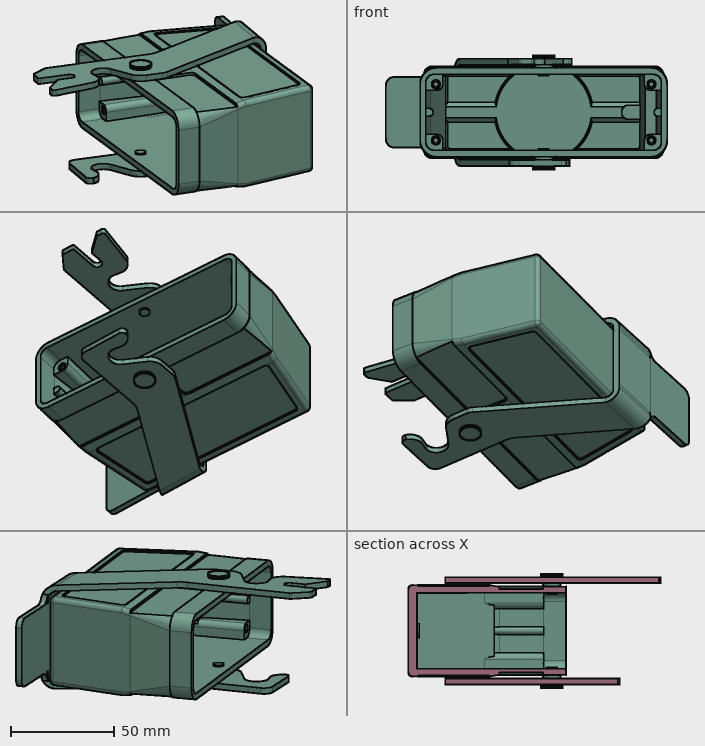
import cadquery as cq
import math


mouth_y = -7.0
rim_y = 4.2
shoulder_y = 25.5
bevel_y = 30.1
crown_y = 69.7
rim_half_x, rim_half_z, rim_radius = 60.0, 21.5, 7.6
skirt_half_z = 20.3
skirt_base_half_x = 59.7
shoulder_half_x = 57.9
crown_half_x = 49.5
body_half_z = 22.25
end_slope = (shoulder_half_x - crown_half_x) / (crown_y - shoulder_y)
bevel_half_x = shoulder_half_x - end_slope * (bevel_y - shoulder_y)
body_edge_radius = 2.4
crown_fillet = 2.2

strip_half_x = 5.9
strip_flare = 2.5

panel_depth = 0.6
panel_bottom_y = bevel_y + 0.1
panel_top_y = crown_y - 4.7
panel_side_margin = 5.2
panel_corner = 2.5
panel_wall_angle = 35.0

wall = 2.8
cavity_half_z = 18.4
cavity_radius = 4.0
cavity_edge_radius = 1.0
floor_bevel = 0.8
ledge_y, ledge_edge_x = 28.0, 49.2
floor_y = crown_y - wall
floor_rib_height = 1.5
floor_rib_base_half_z = 4.8
floor_rib_top_half_z = 2.7
floor_disc_base_radius = 24.0
floor_disc_top_radius = 23.2
hump_radius = 3.5
hump_length = 8.9
hump_rise = 1.0

post_face_y = 4.0
post_inner_x, post_inner_z = 48.9, 10.7
post_corner = 3.0
screw_x, screw_z = 52.3, 13.6
screw_pilot_radius, screw_mouth_radius = 1.3, 2.1
screw_countersink, screw_depth = 0.9, 12.0
guide_radius, guide_centre_x = 1.9, 55.5

pin_tip_z = 17.7
pin_tip_radius = 2.6
pin_shaft_radius = 4.3
pin_collar_radius = 5.1
pin_head_radius = 5.35
pin_head_thickness = 1.2
pin_end_z = 27.8
knurl_count, knurl_width, knurl_depth = 36, 0.45, 0.25

lever_tilt = -2.7
sheet = 3.0
lever_half_z = 26.1
lever_back_y = 73.8
bend_radius = 7.0
bend_line_y = lever_back_y - bend_radius
bend_left_x, bend_right_x = -43.8, -18.9
bar_left_x, bar_right_x = -47.0, -20.3
tab_end_x = -80.05
tab_half_z = 17.2
tab_corner = 4.2
neck_fillet = 4.5

arm_left_x = -15.4
arm_right_x = 12.3
knee_y, knee_fillet = 13.0, 10.5
elbow_y, elbow_fillet = 7.9, 6.0
heel_fillet = 7.6
hook_x, hook_y, hook_radius = 0.6, -19.6, 5.9
shank_angle = 29.0
finger_top = (6.2, -24.6)
finger_middle = (10.3, -26.2)
finger_side = (12.5, -29.5)
fork_foot_y = -52.3
fork_corner_fillet = 1.5
fork_shoulder_y = -43.7
fork_left_x = -9.4
fork_tip_x, fork_tip_start_x, fork_tip_fillet = 16.4, 12.0, 1.4
slot_radius = 2.6
slot_centre_y = -37.1
slot_mouth_y, slot_mouth_fillet = -44.4, 0.8
short_foot_y, short_foot_x = -32.6, 12.5
short_foot_left_fillet, short_foot_right_fillet = 4.5, 2.5


def rounded_wire(y, half_x, half_z, radius):
    """Rounded rectangle lying across the Y axis."""
    sketch = cq.Sketch().rect(2 * half_x, 2 * half_z).vertices().fillet(radius)
    plane = cq.Workplane("XZ", origin=(0, y, 0))
    return plane.placeSketch(sketch).extrude(-1).faces("<Y").wires().val()


def tapered_block(start, end):
    """Straight-sided solid between two rounded rectangles."""
    return cq.Workplane(cq.Solid.makeLoft([rounded_wire(*start), rounded_wire(*end)], True))


def mirrored_z(shape):
    return shape.union(shape.mirror("XY"))


def polar(centre_x, centre_y, radius, degrees):
    angle = math.radians(degrees)
    return (centre_x + radius * math.cos(angle), centre_y + radius * math.sin(angle))


def pin_strip():
    """Raised strip with flared ends, reaching from face to face."""
    flared_x = strip_half_x + strip_flare
    bend = strip_flare * (1 - math.sqrt(0.5))
    return (
        cq.Workplane("XY", origin=(0, 0, -rim_half_z))
        .moveTo(-flared_x, rim_y)
        .lineTo(flared_x, rim_y)
        .threePointArc((strip_half_x + bend, rim_y + bend), (strip_half_x, rim_y + strip_flare))
        .lineTo(strip_half_x, shoulder_y - strip_flare)
        .threePointArc((strip_half_x + bend, shoulder_y - bend), (flared_x, shoulder_y))
        .lineTo(-flared_x, shoulder_y)
        .threePointArc((-strip_half_x - bend, shoulder_y - bend), (-strip_half_x, shoulder_y - strip_flare))
        .lineTo(-strip_half_x, rim_y + strip_flare)
        .threePointArc((-strip_half_x - bend, rim_y + bend), (-flared_x, rim_y))
        .close()
        .extrude(2 * rim_half_z)
    )


def skirt_recesses():
    """Material removed from both large faces of the skirt, leaving the pin strip standing."""
    depth = rim_half_z - skirt_half_z
    layer = (
        cq.Workplane("XY", origin=(0, (rim_y + shoulder_y) / 2, skirt_half_z))
        .rect(2 * rim_half_x, shoulder_y - rim_y)
        .extrude(depth)
    )
    return mirrored_z(layer.cut(pin_strip()))


def hood_outside():
    rim = tapered_block(
        (mouth_y, rim_half_x, rim_half_z, rim_radius),
        (rim_y, rim_half_x, rim_half_z, rim_radius),
    )
    skirt = tapered_block(
        (rim_y, skirt_base_half_x, rim_half_z, rim_radius),
        (shoulder_y, shoulder_half_x, rim_half_z, body_edge_radius),
    )
    bevel = tapered_block(
        (shoulder_y, shoulder_half_x, rim_half_z, body_edge_radius),
        (bevel_y, bevel_half_x, body_half_z, body_edge_radius),
    )
    body = tapered_block(
        (bevel_y, bevel_half_x, body_half_z, body_edge_radius),
        (crown_y, crown_half_x, body_half_z, body_edge_radius),
    )
    body = body.faces(">Y").edges().fillet(crown_fillet)
    return rim.union(skirt.cut(skirt_recesses())).union(bevel).union(body)


def face_panels():
    bottom_x = bevel_half_x - panel_side_margin
    top_x = bottom_x - end_slope * (panel_top_y - panel_bottom_y)
    panel = (
        cq.Workplane("XY", origin=(0, 0, body_half_z))
        .polyline([(-bottom_x, panel_bottom_y), (bottom_x, panel_bottom_y),
                   (top_x, panel_top_y), (-top_x, panel_top_y)])
        .close()
        .extrude(-panel_depth, taper=panel_wall_angle)
        .edges("not #Z")
        .fillet(panel_corner)
    )
    return mirrored_z(panel)


def cavity():
    mouth = tapered_block(
        (mouth_y, rim_half_x - wall, cavity_half_z, cavity_radius),
        (rim_y, rim_half_x - wall, cavity_half_z, cavity_radius),
    )
    middle = tapered_block(
        (rim_y, rim_half_x - wall, cavity_half_z, cavity_radius),
        (shoulder_y, shoulder_half_x - wall, cavity_half_z, cavity_edge_radius),
    )
    deep_end_y = floor_y - floor_bevel
    deep_half_x = crown_half_x - wall + end_slope * (crown_y - deep_end_y)
    deep = tapered_block(
        (shoulder_y, shoulder_half_x - wall, cavity_half_z, cavity_edge_radius),
        (deep_end_y, deep_half_x, cavity_half_z, cavity_edge_radius),
    )
    floor = tapered_block(
        (deep_end_y, deep_half_x, cavity_half_z, cavity_edge_radius),
        (floor_y, deep_half_x - floor_bevel, cavity_half_z - floor_bevel, cavity_edge_radius),
    )
    return mouth.union(middle).union(deep).union(floor).cut(end_ledge())


def end_ledge():
    """Thicker +X end wall that starts with a step inside the cavity."""
    foot_x = crown_half_x - wall
    return (
        cq.Workplane("XY", origin=(0, 0, -rim_half_z))
        .polyline([(rim_half_x, ledge_y), (ledge_edge_x, ledge_y), (foot_x, floor_y), (rim_half_x, floor_y)])
        .close()
        .extrude(2 * rim_half_z)
    )


def floor_relief():
    """Raised disc and lengthwise rib on the cavity floor, with sloping sides."""
    top_y = floor_y - floor_rib_height
    rib = (
        cq.Workplane("YZ", origin=(-crown_half_x, 0, 0))
        .polyline([(floor_y, -floor_rib_base_half_z), (top_y, -floor_rib_top_half_z),
                   (top_y, floor_rib_top_half_z), (floor_y, floor_rib_base_half_z)])
        .close()
        .extrude(2 * crown_half_x)
    )
    disc = cq.Workplane(cq.Solid.makeCone(
        floor_disc_base_radius, floor_disc_top_radius, floor_rib_height,
        cq.Vector(0, floor_y, 0), cq.Vector(0, -1, 0),
    ))
    return rib.union(disc)


def floor_hump():
    """Round-ended pad that stands on the rib against the +X end wall."""
    height = floor_rib_height + hump_rise
    tip_x = crown_half_x - wall - hump_length
    plane = cq.Workplane("XZ", origin=(tip_x + hump_radius, floor_y, 0))
    end = plane.circle(hump_radius).extrude(height)
    bar = plane.center(hump_length / 2, 0).rect(hump_length, 2 * hump_radius).extrude(height)
    return end.union(bar)


def end_posts():
    """Four corner posts and two guide ribs running into the sloping end walls."""
    length = crown_y - post_face_y
    post_size_x = rim_half_x - post_inner_x
    post_size_z = rim_half_z - post_inner_z
    posts = None
    for side in (-1, 1):
        plane = cq.Workplane("XZ", origin=(side * guide_centre_x, post_face_y, 0))
        nose = plane.circle(guide_radius).extrude(-length)
        web = plane.center(side * wall, 0).rect(2 * wall, 2 * guide_radius).extrude(-length)
        guide = nose.union(web)
        posts = guide if posts is None else posts.union(guide)
        for level in (-1, 1):
            post = (
                cq.Workplane("XZ", origin=(0, post_face_y, 0))
                .center(side * (post_inner_x + post_size_x / 2), level * (post_inner_z + post_size_z / 2))
                .rect(post_size_x, post_size_z)
                .extrude(-length)
                .edges("|Y")
                .fillet(post_corner)
            )
            posts = posts.union(post)
    return posts


def screw_holes():
    holes = cq.Workplane("XZ", origin=(0, post_face_y, 0)).rect(2 * screw_x, 2 * screw_z, forConstruction=True)
    pilots = holes.vertices().circle(screw_pilot_radius).extrude(-screw_depth)
    mouths = holes.vertices().circle(screw_mouth_radius).extrude(-screw_countersink)
    return pilots.union(mouths)


def hood():
    outside = hood_outside()
    fittings = floor_relief().union(floor_hump()).union(end_posts()).intersect(cavity())
    shell = outside.cut(cavity()).union(fittings)
    return shell.cut(face_panels()).cut(screw_holes())


def pin():
    """Stepped pin on the +Z side with a knurled head."""
    head_z = pin_end_z - pin_head_thickness

    def step(radius, low_z, high_z):
        return cq.Workplane("XY", origin=(0, 0, low_z)).circle(radius).extrude(high_z - low_z)

    tip = step(pin_tip_radius, pin_tip_z, head_z)
    shaft = step(pin_shaft_radius, skirt_half_z, head_z)
    collar = step(pin_collar_radius, lever_half_z - sheet / 2, head_z)
    head = step(pin_head_radius, head_z, pin_end_z)
    knurl = (
        cq.Workplane("XY", origin=(0, 0, head_z))
        .polarArray(pin_head_radius, 0, 360, knurl_count)
        .rect(2 * knurl_depth, knurl_width)
        .extrude(pin_head_thickness)
    )
    return tip.union(shaft).union(collar).union(head.cut(knurl))


def round_corner(shape, corner, radius):
    """Round the Z-direction edge that stands at one corner of an outline."""
    return shape.edges("|Z").edges(cq.NearestToPointSelector((*corner, lever_half_z / 2))).fillet(radius)


def heel_y():
    """Height at which the line leaving the hook meets the right side of the arm."""
    start_x, start_y = polar(hook_x, hook_y, hook_radius, 90 + shank_angle)
    return start_y + (arm_right_x - start_x) * math.tan(math.radians(shank_angle))


def arm_outline():
    """Outline shared by both arms: finger, hook, heel, shank and bar, ending at the knee."""
    hook_end = polar(hook_x, hook_y, hook_radius, 90 + shank_angle)
    return (
        cq.Workplane("XY")
        .moveTo(*finger_side)
        .threePointArc(finger_middle, finger_top)
        .lineTo(hook_x, hook_y - hook_radius)
        .threePointArc((hook_x - hook_radius, hook_y), hook_end)
        .lineTo(arm_right_x, heel_y())
        .lineTo(arm_right_x, elbow_y)
        .lineTo(bend_right_x, bend_line_y)
        .lineTo(bar_right_x, lever_back_y)
        .lineTo(bar_left_x, lever_back_y)
        .lineTo(bend_left_x, bend_line_y)
        .lineTo(arm_left_x, knee_y)
    )


def round_shared_corners(arm):
    arm = round_corner(arm, (arm_right_x, heel_y()), heel_fillet)
    arm = round_corner(arm, (arm_right_x, elbow_y), elbow_fillet)
    return round_corner(arm, (arm_left_x, knee_y), knee_fillet)


def long_arm():
    """Arm that ends in a fork with an open slot."""
    arm = (
        arm_outline()
        .lineTo(arm_left_x, fork_shoulder_y)
        .lineTo(fork_left_x, fork_foot_y)
        .lineTo(-slot_radius, fork_foot_y)
        .lineTo(-slot_radius, slot_centre_y)
        .threePointArc((0, slot_centre_y + slot_radius), (slot_radius, slot_centre_y))
        .lineTo(slot_radius, slot_mouth_y)
        .lineTo(fork_tip_start_x, fork_foot_y)
        .lineTo(fork_tip_x, fork_foot_y)
        .close()
        .extrude(lever_half_z)
    )
    arm = round_corner(arm, (arm_left_x, fork_shoulder_y), fork_corner_fillet)
    arm = round_corner(arm, (fork_left_x, fork_foot_y), fork_corner_fillet)
    arm = round_corner(arm, (fork_tip_x, fork_foot_y), fork_tip_fillet)
    arm = round_corner(arm, (-slot_radius, fork_foot_y), slot_mouth_fillet)
    return round_shared_corners(arm)


def short_arm():
    """Arm that ends in a rounded foot just below the hook."""
    arm = (
        arm_outline()
        .lineTo(arm_left_x, short_foot_y)
        .lineTo(short_foot_x, short_foot_y)
        .close()
        .extrude(lever_half_z)
    )
    arm = round_corner(arm, (arm_left_x, short_foot_y), short_foot_left_fillet)
    arm = round_corner(arm, (short_foot_x, short_foot_y), short_foot_right_fillet)
    return round_shared_corners(arm)


def tab():
    """Thumb tab in the plane of the bar, with hollow fillets where it widens into the bar."""
    depth = 2 * sheet
    wide_z = tab_half_z + neck_fillet
    plane = cq.Workplane("XZ", origin=(0, lever_back_y, 0))
    middle_x = (tab_end_x + bar_right_x) / 2
    plate = plane.center(middle_x, 0).rect(bar_right_x - tab_end_x, 2 * tab_half_z).extrude(depth)
    plate = plate.edges("|Y and <X").fillet(tab_corner)
    neck_x = bar_left_x - neck_fillet
    bend = neck_fillet * math.sqrt(0.5)
    web = (
        plane.moveTo(neck_x, tab_half_z)
        .threePointArc((neck_x + bend, wide_z - bend), (bar_left_x, wide_z))
        .lineTo(bar_left_x, 0)
        .lineTo(neck_x, 0)
        .close()
        .extrude(depth)
    )
    return plate.union(mirrored_z(web))


def lever_channel():
    """Sheet bent into a U, long enough to hold the tab and both arms."""
    length = fork_tip_x - tab_end_x + sheet
    depth = lever_back_y - fork_foot_y + sheet

    def channel_block(half_z, back_y, radius):
        block = cq.Workplane("XY").box(length, depth, 2 * half_z, centered=(False, False, True))
        return block.translate((tab_end_x, back_y - depth, 0)).edges("|X and >Y").fillet(radius)

    outside = channel_block(lever_half_z, lever_back_y, bend_radius)
    inside = channel_block(lever_half_z - sheet, lever_back_y - sheet, bend_radius - sheet)
    return outside.cut(inside)


def lever():
    blank = long_arm().union(short_arm().mirror("XY")).union(tab())
    bent = blank.intersect(lever_channel())
    return bent.rotate((0, 0, 0), (0, 0, 1), lever_tilt)


result = hood().union(lever()).union(mirrored_z(pin()))